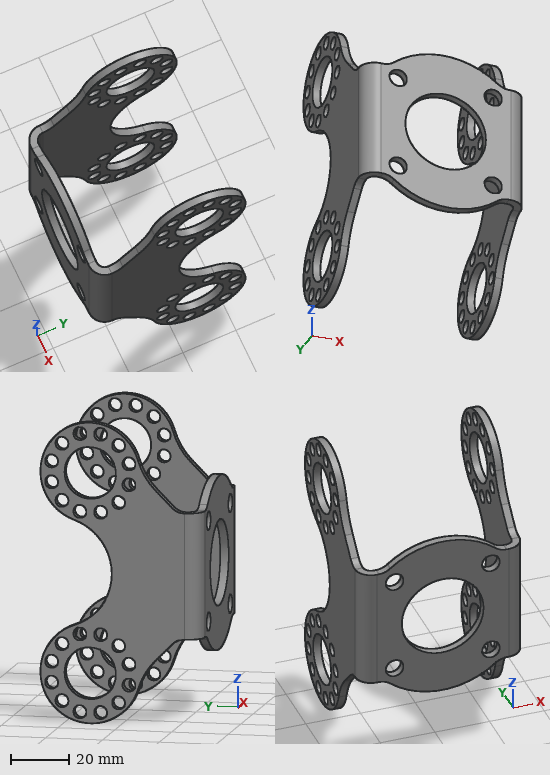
import cadquery as cq
import math

width = 60.2
depth = 56.6
height = 105.2

thickness = 2.9
bend_outer_radius = 5.9
bend_inner_radius = bend_outer_radius - thickness
strip_half_height = 22.1

base_radius = 30.4
base_blend_radius = 6.5
base_bore_diameter = 29.9
bolt_spacing = 35.2
bolt_hole_diameter = 6.4

lobe_radius = 17.6
lobe_y = depth - lobe_radius
lobe_z = height / 2 - lobe_radius
lobe_bore_diameter = 18.1
ring_diameter = 28.2
ring_hole_count = 12
ring_hole_diameter = 4.5
recess_bottom_y = 31.5
lobe_blend_radius = 24.2
strip_blend_radius = 6.0
slope = math.radians(45)


def point_on_arc(center, radius, angle):
    """Point at the given angle (radians from the first axis) on a circle."""
    return (center[0] + radius * math.cos(angle), center[1] + radius * math.sin(angle))


def mirror_first(point):
    return (-point[0], point[1])


def mirror_second(point):
    return (point[0], -point[1])


def rounded_block(block_width, front_radius):
    """Block with its front face on XZ and its two front upright edges rounded."""
    block = cq.Workplane("XY").box(
        block_width, depth, 2 * strip_half_height, centered=(True, False, True)
    )
    return block.edges("|Z and <Y").fillet(front_radius)


def make_bent_strip():
    """Band across the base with a bend at each end, stopping where the bends end."""
    outer = rounded_block(width, bend_outer_radius)
    inner = rounded_block(width - 2 * thickness, bend_inner_radius).translate((0, thickness, 0))
    front = cq.Workplane("XY").box(
        width, bend_outer_radius, 2 * strip_half_height, centered=(True, False, True)
    )
    return outer.cut(inner).intersect(front)


def make_base_plate():
    """Flat disc crossed by the strip, with its rim blended into the strip edges."""
    blend_z = strip_half_height + base_blend_radius
    blend_x = math.sqrt((base_radius + base_blend_radius) ** 2 - blend_z**2)
    blend_angle = math.atan2(blend_z, blend_x)
    disc_end = point_on_arc((0, 0), base_radius, blend_angle)
    middle_angle = (3 * math.pi / 2 + blend_angle + math.pi) / 2
    blend_middle = point_on_arc((blend_x, blend_z), base_blend_radius, middle_angle)

    cap = (
        cq.Workplane("XZ")
        .moveTo(blend_x, 0)
        .lineTo(blend_x, strip_half_height)
        .threePointArc(blend_middle, disc_end)
        .threePointArc((0, base_radius), mirror_first(disc_end))
        .threePointArc(mirror_first(blend_middle), (-blend_x, strip_half_height))
        .lineTo(-blend_x, 0)
        .close()
        .extrude(-thickness)
    )
    return cap.union(cap.mirror("XY"))


def make_side_blank():
    """Side plate outline in YZ, spanning the full width in X."""
    lobe = (lobe_y, lobe_z)

    strip_blend = (bend_outer_radius, strip_half_height + strip_blend_radius)
    strip_blend_middle = point_on_arc(strip_blend, strip_blend_radius, -math.pi / 2 + slope / 2)
    strip_blend_end = point_on_arc(strip_blend, strip_blend_radius, -math.pi / 2 + slope)

    lobe_to_slope = (
        (lobe_y - strip_blend_end[0]) * math.sin(slope) - (lobe_z - strip_blend_end[1]) * math.cos(slope)
    )
    across = lobe_to_slope + lobe_blend_radius
    along = math.sqrt((lobe_radius + lobe_blend_radius) ** 2 - across**2)
    lobe_blend = (
        lobe_y - across * math.sin(slope) - along * math.cos(slope),
        lobe_z + across * math.cos(slope) - along * math.sin(slope),
    )
    to_lobe = math.atan2(lobe_z - lobe_blend[1], lobe_y - lobe_blend[0])
    lobe_blend_start = point_on_arc(lobe_blend, lobe_blend_radius, slope - math.pi / 2)
    lobe_blend_middle = point_on_arc(lobe_blend, lobe_blend_radius, (slope - math.pi / 2 + to_lobe) / 2)
    lobe_blend_end = point_on_arc(lobe_blend, lobe_blend_radius, to_lobe)
    lobe_outer = point_on_arc(lobe, lobe_radius, slope)

    offset = lobe_y - recess_bottom_y
    recess_radius = (offset**2 + lobe_z**2 - lobe_radius**2) / (2 * (lobe_radius + offset))
    recess = (recess_bottom_y + recess_radius, 0)
    recess_angle = math.atan2(lobe_z, lobe_y - recess[0])
    recess_start = point_on_arc(recess, recess_radius, recess_angle)

    return (
        cq.Workplane("YZ")
        .moveTo(bend_outer_radius, -strip_half_height)
        .lineTo(bend_outer_radius, strip_half_height)
        .threePointArc(strip_blend_middle, strip_blend_end)
        .lineTo(*lobe_blend_start)
        .threePointArc(lobe_blend_middle, lobe_blend_end)
        .threePointArc(lobe_outer, recess_start)
        .threePointArc((recess_bottom_y, 0), mirror_second(recess_start))
        .threePointArc(mirror_second(lobe_outer), mirror_second(lobe_blend_end))
        .threePointArc(mirror_second(lobe_blend_middle), mirror_second(lobe_blend_start))
        .lineTo(*mirror_second(strip_blend_end))
        .threePointArc(mirror_second(strip_blend_middle), (bend_outer_radius, -strip_half_height))
        .close()
        .extrude(width / 2, both=True)
    )


def make_side_plates():
    """Pair of parallel side plates with a bore and a hole ring in every lobe."""
    gap = cq.Workplane("XY").box(width - 2 * thickness, 3 * depth, 2 * height)
    plates = make_side_blank().cut(gap)
    half_pitch = 180 / ring_hole_count
    for z in (-lobe_z, lobe_z):
        lobe_plane = cq.Workplane("YZ").center(lobe_y, z)
        bore = lobe_plane.circle(lobe_bore_diameter / 2).extrude(width, both=True)
        ring = (
            lobe_plane.polarArray(ring_diameter / 2, half_pitch, 360, ring_hole_count)
            .circle(ring_hole_diameter / 2)
            .extrude(width, both=True)
        )
        plates = plates.cut(bore).cut(ring)
    return plates


def make_base_holes():
    """Central bore and the four bolt holes through the base."""
    bore = cq.Workplane("XZ").circle(base_bore_diameter / 2).extrude(-thickness)
    bolts = (
        cq.Workplane("XZ")
        .rarray(bolt_spacing, bolt_spacing, 2, 2)
        .circle(bolt_hole_diameter / 2)
        .extrude(-thickness)
    )
    return bore.union(bolts)


base = make_bent_strip().union(make_base_plate()).cut(make_base_holes())
result = base.union(make_side_plates())